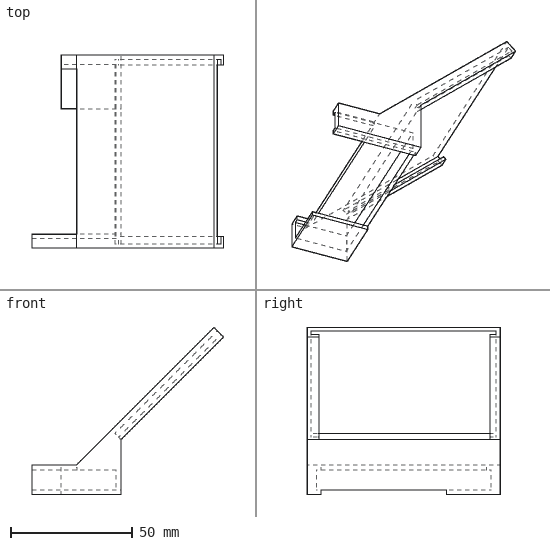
import math

import cadquery as cq

width = 79.6
base_length = 36.7
base_height = 12.2
plate_foot_x = 18.36
plate_length = 80.02
plate_thickness = 5.6

pocket_side_wall = 3.9
pocket_floor = 1.8
pocket_roof = 2.1
pocket_back_wall = 2.0
arm_width = 5.8
floor_ledge_width = 22.3
far_arm_setback = 12.0
roof_edge_tilt = 5.4

channel_skin = 2.0
channel_gap = 2.15
channel_near_wall = 1.7
channel_far_wall = 1.85
channel_near_rail = 4.9
channel_far_rail = 4.25

plate_run = plate_length * math.sqrt(0.5)
plate_end_run = plate_thickness * math.sqrt(0.5)
plate_top_x = plate_foot_x + plate_run
plate_top_z = base_height + plate_run
plate_back_x = plate_top_x + plate_end_run
plate_back_z = plate_top_z - plate_end_run
plate_junction_z = plate_back_z - (plate_back_x - base_length)

channel_start = ((base_length - plate_foot_x) + (plate_junction_z - base_height)) * math.sqrt(0.5)


def profile_prism(points, y_from, y_to):
    """Extrude an XZ outline between two Y positions."""
    plane = cq.Workplane("XZ", origin=(0, y_from, 0))
    return plane.polyline(points).close().extrude(y_from - y_to)


def box_between(x_range, y_range, z_range):
    """Axis-aligned box from its limits along each axis."""
    sizes = [high - low for low, high in (x_range, y_range, z_range)]
    corner = (x_range[0], y_range[0], z_range[0])
    return cq.Workplane("XY").box(*sizes, centered=False).translate(corner)


def make_body():
    """Base and inclined plate as one solid side profile."""
    outline = [
        (0, 0),
        (base_length, 0),
        (base_length, plate_junction_z),
        (plate_back_x, plate_back_z),
        (plate_top_x, plate_top_z),
        (plate_foot_x, base_height),
        (0, base_height),
    ]
    return profile_prism(outline, 0, width)


def make_pocket():
    """Cavity between the arms that ends at the back wall."""
    return box_between(
        (0, base_length - pocket_back_wall),
        (pocket_side_wall, width - pocket_side_wall),
        (pocket_floor, base_height - pocket_roof),
    )


def make_roof_opening():
    """Opening between the arms, ending in the slightly undercut front edge of the roof."""
    roof_bottom_z = base_height - pocket_roof
    undercut = pocket_roof * math.tan(math.radians(roof_edge_tilt))
    outline = [
        (0, roof_bottom_z),
        (plate_foot_x + undercut, roof_bottom_z),
        (plate_foot_x, base_height),
        (0, base_height),
    ]
    return profile_prism(outline, arm_width, width - arm_width)


def make_floor_opening():
    """Gap in the floor, running the full length of the base."""
    return box_between((0, base_length), (arm_width, width - floor_ledge_width), (0, pocket_floor))


def make_far_arm_cut():
    """Space in front of the shorter +Y arm and its floor ledge."""
    return box_between((0, far_arm_setback), (arm_width, width), (0, base_height))


def make_plate_cut(y_range, depth_range):
    """Rectangular cut along the plate; depths are measured down from its upper face."""
    depth_from, depth_to = depth_range
    cut = box_between((channel_start, plate_length), y_range, (-depth_to, -depth_from))
    return cut.rotate((0, 0, 0), (0, 1, 0), -45).translate((plate_foot_x, 0, base_height))


def make_channel():
    """Wide gap under the plate's skin, and the narrower opening between the lips."""
    gap_bottom = channel_skin + channel_gap
    gap = make_plate_cut((channel_near_wall, width - channel_far_wall), (channel_skin, gap_bottom))
    opening = make_plate_cut((channel_near_rail, width - channel_far_rail), (channel_skin, plate_thickness))
    return gap.union(opening)


result = (
    make_body()
    .cut(make_pocket())
    .cut(make_roof_opening())
    .cut(make_floor_opening())
    .cut(make_far_arm_cut())
    .cut(make_channel())
)